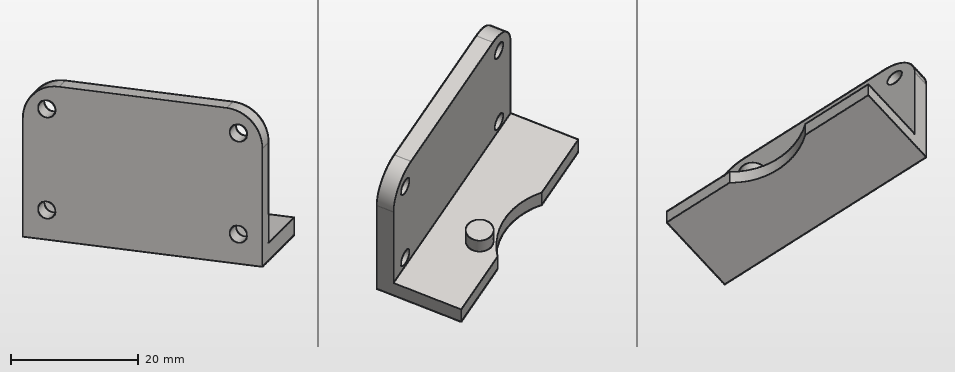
import cadquery as cq

length = 40.0
depth = 15.0
height = 26.0
thickness = 3.0

corner_radius = 6.0
hole_diameter = 2.9
hole_edge_inset = 4.0
lower_hole_height = 5.0

notch_width = 15.05
notch_depth = 2.65
pin_diameter = 4.4
pin_height = 2.65
pin_x = 26.0
pin_back_inset = 4.0


def make_upright():
    """Vertical plate at the front, with rounded top corners and four through holes."""
    plate = cq.Workplane("XY").box(length, thickness, height, centered=False)
    plate = plate.edges("|Y and >Z").fillet(corner_radius)
    hole_centers = [
        (x, z)
        for x in (hole_edge_inset, length - hole_edge_inset)
        for z in (lower_hole_height, height - hole_edge_inset)
    ]
    holes = cq.Workplane("XZ").pushPoints(hole_centers).circle(hole_diameter / 2).extrude(-thickness)
    return plate.cut(holes)


def make_base():
    """Horizontal plate with a shallow arc notch in the middle of its back edge."""
    notch_start = (length + notch_width) / 2
    notch_end = (length - notch_width) / 2
    return (
        cq.Workplane("XY")
        .lineTo(length, 0)
        .lineTo(length, depth)
        .lineTo(notch_start, depth)
        .threePointArc((length / 2, depth - notch_depth), (notch_end, depth))
        .lineTo(0, depth)
        .close()
        .extrude(thickness)
    )


def make_pin():
    """Locating pin running up through the base plate and standing above it."""
    return (
        cq.Workplane("XY")
        .center(pin_x, depth - pin_back_inset)
        .circle(pin_diameter / 2)
        .extrude(thickness + pin_height)
    )


result = make_base().union(make_upright()).union(make_pin())